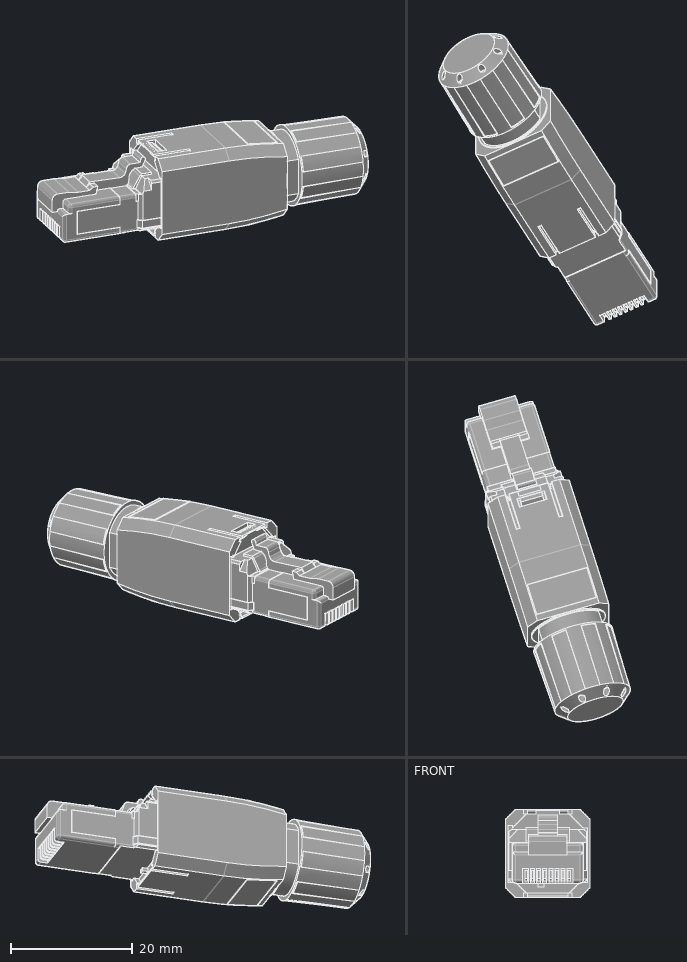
import cadquery as cq
import math

LENGTH = 55.85

SHELL_WIDTH = 14.0
SHELL_HEIGHT = 14.6
SHELL_CORNER = 1.7
SHELL_FRONT = 18.05
SHELL_REAR = 40.45
CURVE_START = 30.05
CURVE_DROP = 0.9
HALF_HEIGHT = SHELL_HEIGHT / 2

PLATE_FRONT = 34.2
PLATE_REAR = 39.45
PLATE_WIDTH = 10.3
PLATE_RISE = 0.1

MOUTH_WIDTH = 13.05
MOUTH_HEIGHT = 12.95
MOUTH_CORNER = 2.95
MOUTH_DEPTH = 0.85
SLOT_OFFSET = 3.7
SLOT_WIDTH = 0.6
SLOT_REAR = 24.35
TONGUE_BEVEL = 0.5
NOTCH_INNER_X = 5.8
LEFT_NOTCH_TOP = 4.65
RIGHT_NOTCH_TOP = 4.2

WINDOW_WIDTH = 4.7
WINDOW_FRONT = 19.25
WINDOW_REAR = 20.8
WINDOW_DEPTH = 0.85
HOOK_WIDTH = 3.8
HOOK_FLAT_REAR = 19.95
HOOK_DROP = 0.15

CAP_FRONT = 43.15
CAP_FRONT_RADIUS = 6.8
CAP_BEVEL_RADIUS = 6.55
CAP_BEVEL_Y = 54.25
CAP_END_RADIUS = 4.8
PANEL_COUNT = 8
PANEL_RIM = 0.3
PANEL_DEPTH = 0.14
CAP_HOLE_DIAMETER = 1.05
CAP_HOLE_RADIUS = 5.5
CAP_HOLE_DEPTH = 1.4

NECK_RADIUS = 6.05
NECK_FLAT = 10.4
COLLAR_RADIUS = 6.35
COLLAR_REAR = 40.65

PLUG_WIDTH = 11.75
PLUG_FRONT = 0.9
PLUG_TOP = 1.8
PLUG_BOTTOM = -4.9
PLUG_ROUND = 0.5
STEP_Y = 1.9
STEP_Z = 0.2
SHIELD_REAR = 11.0
SHIELD_STEP = 0.05
BOTTOM_STEP_Y = 11.9
BOTTOM_STEP = 0.15
SIDE_WINDOW_FRONT = 3.35
SIDE_WINDOW_TOP = 0.45
SIDE_WINDOW_BOTTOM = -3.65

CONTACT_COUNT = 8
CONTACT_PITCH = 1.0
POCKET_WIDTH = 8.3
POCKET_TOP = -2.5
POCKET_DEPTH = 1.7
RIB_WIDTH = 0.35
BLADE_WIDTH = 0.4
BLADE_SETBACK = 0.5
BLADE_TOP = -2.8
BLADE_BOTTOM = -4.6
BLADE_BEVEL = 0.45

HOLDER_WIDTH = 12.85
HOLDER_TOP = 3.95
HOLDER_BOTTOM = -4.75
HOLDER_FRONT = 14.2
HOLDER_SLOPE_REAR = 15.8
HOLDER_SLOPE_FRONT = 14.7
HOLDER_CORNER = 0.65
HOLDER_EDGE = 0.4
FACET_REAR = 16.4
FACET_TOP_X = 4.95
FACET_BOTTOM_Z = 2.4
LIP_FRONT = 13.85
LIP_BOTTOM = 0.55
LIP_RISE = 0.05
RAIL_WIDTH = 13.05
RAIL_FRONT = 14.0
RAIL_TOP = -2.8
RAIL_BOTTOM = -4.2
SADDLE_WIDTH = 7.25
SADDLE_REAR = 17.55
SADDLE_RISE = 0.35

TAB_WIDTH = 0.95
TAB_X = -1.1
TAB_FRONT = 17.9
TAB_TOP = -4.95
TAB_BOTTOM = -5.55

LEVER_WIDTH = 3.3
LATCH_WIDTH = 6.3
LATCH_REAR = 8.15
LATCH_FOOT = 7.75
NOSE_REAR = 2.95
NOSE_TOP = 2.9
NOSE_BOTTOM = -0.2
NOSE_ROUND = 0.95
LEVER_FLAT_Z = 5.5
LEVER_RUN_Z = 3.35
LEVER_END_Y = 7.3
LEVER_END_Z = 3.45
BLOCK_REAR_Z = 3.1
DIP_REAR = 6.7
DIP_FRONT = 4.65
DIP_Z = 2.6

OVERLAP = 0.3


def box(x_size, y_range, z_range, x_center=0.0):
    """Box centred on x_center and spanning the given Y and Z ranges."""
    y0, y1 = y_range
    z0, z1 = z_range
    return (
        cq.Workplane("XY")
        .box(x_size, y1 - y0, z1 - z0)
        .translate((x_center, (y0 + y1) / 2, (z0 + z1) / 2))
    )


def side_prism(points, width):
    """Prism of a closed (Y, Z) outline, centred across X."""
    return cq.Workplane("YZ").polyline(points).close().extrude(width / 2, both=True)


def lathe(points, angle=360):
    """Solid turned about the Y axis from (radius, Y) points."""
    return cq.Workplane("XY").polyline(points).close().revolve(angle, (0, 0, 0), (0, 1, 0))


def shell_curve_z(y):
    """Height of the curved shell top at y, on an arc tangent to the straight part."""
    run = SHELL_REAR - CURVE_START
    radius = (run**2 + CURVE_DROP**2) / (2 * CURVE_DROP)
    return HALF_HEIGHT - radius + math.sqrt(radius**2 - (y - CURVE_START) ** 2)


def mirrored_down(solid):
    """The solid together with its mirror image below the axis."""
    return solid.union(solid.mirror("XY"))


def make_shell():
    mid_y = (CURVE_START + SHELL_REAR) / 2
    mid_z = shell_curve_z(mid_y)
    end_z = shell_curve_z(SHELL_REAR)
    shell = (
        cq.Workplane("YZ")
        .moveTo(SHELL_FRONT, -HALF_HEIGHT)
        .lineTo(CURVE_START, -HALF_HEIGHT)
        .threePointArc((mid_y, -mid_z), (SHELL_REAR, -end_z))
        .lineTo(SHELL_REAR, end_z)
        .threePointArc((mid_y, mid_z), (CURVE_START, HALF_HEIGHT))
        .lineTo(SHELL_FRONT, HALF_HEIGHT)
        .close()
        .extrude(SHELL_WIDTH / 2, both=True)
    )
    long_edges = shell.faces("<X or >X").edges("not(<Y or >Y)")
    shell = long_edges.chamfer(SHELL_CORNER)
    plate = side_prism(
        [
            (PLATE_FRONT, HALF_HEIGHT),
            (PLATE_REAR, shell_curve_z(PLATE_REAR) + PLATE_RISE),
            (PLATE_REAR, shell_curve_z(PLATE_REAR) - OVERLAP),
            (PLATE_FRONT, HALF_HEIGHT - CURVE_DROP),
        ],
        PLATE_WIDTH,
    )
    return shell.union(mirrored_down(plate))


def make_mouth():
    """Cut for the mouth, the tongue slots and bevels, the hook groove and the side notches."""
    mouth_rear = SHELL_FRONT + MOUTH_DEPTH
    mouth = box(MOUTH_WIDTH, (SHELL_FRONT, mouth_rear), (-MOUTH_HEIGHT / 2, MOUTH_HEIGHT / 2))
    mouth = mouth.edges("|Y").chamfer(MOUTH_CORNER)
    lip = MOUTH_HEIGHT / 2
    bevel = side_prism(
        [
            (SHELL_FRONT, lip - OVERLAP),
            (SHELL_FRONT, lip + TONGUE_BEVEL),
            (SHELL_FRONT + TONGUE_BEVEL, lip),
            (SHELL_FRONT + TONGUE_BEVEL, lip - OVERLAP),
        ],
        2 * SLOT_OFFSET,
    )
    for side in (-1, 1):
        slot = box(SLOT_WIDTH, (SHELL_FRONT, SLOT_REAR), (lip, HALF_HEIGHT), side * SLOT_OFFSET)
        bevel = bevel.union(slot)
    cut = mouth.union(mirrored_down(bevel))
    cut = cut.union(box(HOOK_WIDTH, (SHELL_FRONT, mouth_rear), (0, HALF_HEIGHT - HOOK_DROP)))
    notch_width = MOUTH_WIDTH / 2 - NOTCH_INNER_X
    notch_x = (MOUTH_WIDTH / 2 + NOTCH_INNER_X) / 2
    for side, top in ((-1, LEFT_NOTCH_TOP), (1, RIGHT_NOTCH_TOP)):
        cut = cut.union(box(notch_width, (SHELL_FRONT, mouth_rear), (HOLDER_BOTTOM, top), side * notch_x))
    return cut


def make_window():
    """Cut for the tongue window, leaving the snap hook standing inside it."""
    floor = HALF_HEIGHT - WINDOW_DEPTH
    window = box(WINDOW_WIDTH, (WINDOW_FRONT, WINDOW_REAR), (floor, HALF_HEIGHT))
    hook_top = HALF_HEIGHT - HOOK_DROP
    hook = side_prism(
        [
            (WINDOW_FRONT, floor),
            (WINDOW_FRONT, hook_top),
            (HOOK_FLAT_REAR, hook_top),
            (WINDOW_REAR, floor),
        ],
        HOOK_WIDTH,
    )
    return window.cut(hook)


def make_cap():
    cap = lathe(
        [
            (0, CAP_FRONT),
            (CAP_FRONT_RADIUS, CAP_FRONT),
            (CAP_BEVEL_RADIUS, CAP_BEVEL_Y),
            (CAP_END_RADIUS, LENGTH),
            (0, LENGTH),
        ]
    )
    step = 360 / PANEL_COUNT
    panel_front = CAP_FRONT + PANEL_RIM
    panel = lathe(
        [
            (CAP_FRONT_RADIUS - PANEL_DEPTH, panel_front),
            (CAP_FRONT_RADIUS + OVERLAP, panel_front),
            (CAP_FRONT_RADIUS + OVERLAP, CAP_BEVEL_Y),
            (CAP_BEVEL_RADIUS, CAP_BEVEL_Y),
        ],
        step / 2,
    )
    hole = (
        cq.Workplane("XZ", origin=(0, LENGTH, 0))
        .center(CAP_HOLE_RADIUS, 0)
        .circle(CAP_HOLE_DIAMETER / 2)
        .extrude(CAP_HOLE_DEPTH)
    )
    for index in range(PANEL_COUNT):
        turn = index * step
        cap = cap.cut(panel.rotate((0, 0, 0), (0, 1, 0), turn + step / 4))
        cap = cap.cut(hole.rotate((0, 0, 0), (0, 1, 0), turn + step / 2))
    return cap


def make_neck():
    flats = box(NECK_FLAT, (SHELL_REAR - OVERLAP, CAP_FRONT + OVERLAP), (-NECK_RADIUS, NECK_RADIUS))
    neck = (
        cq.Workplane("XZ", origin=(0, CAP_FRONT + OVERLAP, 0))
        .circle(NECK_RADIUS)
        .extrude(CAP_FRONT - SHELL_REAR + 2 * OVERLAP)
        .intersect(flats)
    )
    collar = (
        cq.Workplane("XZ", origin=(0, COLLAR_REAR, 0))
        .circle(COLLAR_RADIUS)
        .extrude(COLLAR_REAR - SHELL_REAR + OVERLAP)
    )
    return neck.union(collar)


def make_plug():
    """Shielded front of the plug with its stepped nose, and the slightly smaller rear."""
    plug = side_prism(
        [
            (PLUG_FRONT, PLUG_BOTTOM),
            (SHIELD_REAR, PLUG_BOTTOM),
            (SHIELD_REAR, PLUG_TOP),
            (STEP_Y, PLUG_TOP),
            (STEP_Y, STEP_Z),
            (PLUG_FRONT, STEP_Z),
        ],
        PLUG_WIDTH,
    )
    plug = plug.edges("|Y and >Z").fillet(PLUG_ROUND)
    plug = plug.edges("|Y and <Z").fillet(PLUG_ROUND)
    plug = plug.faces("<Y").edges().fillet(PLUG_ROUND)
    step_edge = cq.selectors.NearestToPointSelector((0, STEP_Y, PLUG_TOP))
    plug = plug.edges(step_edge).fillet(PLUG_ROUND)
    for side in (-1, 1):
        window = box(
            2 * SHIELD_STEP,
            (SIDE_WINDOW_FRONT, SHIELD_REAR),
            (SIDE_WINDOW_BOTTOM, SIDE_WINDOW_TOP),
            side * PLUG_WIDTH / 2,
        )
        plug = plug.cut(window)
    rear = box(
        PLUG_WIDTH - 2 * SHIELD_STEP,
        (SHIELD_REAR, HOLDER_SLOPE_REAR),
        (PLUG_BOTTOM, PLUG_TOP - SHIELD_STEP),
    )
    rear = rear.edges("|Y").fillet(PLUG_ROUND)
    rear_trim = box(
        PLUG_WIDTH, (BOTTOM_STEP_Y, HOLDER_SLOPE_REAR), (PLUG_BOTTOM, PLUG_BOTTOM + BOTTOM_STEP)
    )
    return plug.union(rear.cut(rear_trim)).cut(make_contact_pocket())


def make_contact_pocket():
    """Cut for the contact pocket, sparing the ribs and the contact blades."""
    pocket_rear = PLUG_FRONT + POCKET_DEPTH
    pocket = box(POCKET_WIDTH, (PLUG_FRONT, pocket_rear), (PLUG_BOTTOM, POCKET_TOP))
    blade = box(BLADE_WIDTH, (PLUG_FRONT + BLADE_SETBACK, pocket_rear), (BLADE_BOTTOM, BLADE_TOP))
    blade = blade.faces("<Y").edges("<Z").chamfer(BLADE_BEVEL)
    rib = box(RIB_WIDTH, (PLUG_FRONT, pocket_rear), (PLUG_BOTTOM, POCKET_TOP))
    first_blade = -(CONTACT_COUNT - 1) / 2 * CONTACT_PITCH
    for index in range(CONTACT_COUNT):
        pocket = pocket.cut(blade.translate((first_blade + index * CONTACT_PITCH, 0, 0)))
    for index in range(CONTACT_COUNT - 1):
        pocket = pocket.cut(rib.translate((first_blade + (index + 0.5) * CONTACT_PITCH, 0, 0)))
    return pocket


def make_holder():
    rear = SHELL_FRONT + MOUTH_DEPTH + OVERLAP
    holder = box(HOLDER_WIDTH, (HOLDER_FRONT, rear), (HOLDER_BOTTOM, HOLDER_TOP))
    holder = holder.edges("|Z and <Y").chamfer(HOLDER_CORNER)
    holder = holder.edges("|Y").chamfer(HOLDER_EDGE)
    above_slope = side_prism(
        [
            (HOLDER_SLOPE_REAR, HOLDER_TOP),
            (HOLDER_SLOPE_FRONT, PLUG_TOP),
            (HOLDER_FRONT, PLUG_TOP),
            (HOLDER_FRONT, HOLDER_TOP),
        ],
        HOLDER_WIDTH,
    )
    facet = (
        cq.Workplane("XZ", origin=(0, FACET_REAR, 0))
        .polyline(
            [
                (FACET_TOP_X, HOLDER_TOP),
                (HOLDER_WIDTH / 2, HOLDER_TOP),
                (HOLDER_WIDTH / 2, FACET_BOTTOM_Z),
            ]
        )
        .close()
        .extrude(FACET_REAR - HOLDER_FRONT)
    )
    holder = holder.cut(above_slope).cut(facet).cut(facet.mirror("YZ"))
    lip = box(PLUG_WIDTH, (LIP_FRONT, HOLDER_SLOPE_FRONT), (LIP_BOTTOM, PLUG_TOP + LIP_RISE))
    rail = box(RAIL_WIDTH, (RAIL_FRONT, rear), (RAIL_BOTTOM, RAIL_TOP))
    rail = rail.edges("|Z and <Y").chamfer(HOLDER_CORNER)
    saddle_top = HOLDER_TOP + SADDLE_RISE
    saddle = side_prism(
        [
            (SADDLE_REAR, HOLDER_TOP - OVERLAP),
            (SADDLE_REAR, saddle_top),
            (HOLDER_SLOPE_REAR, saddle_top),
            (HOLDER_SLOPE_REAR - SADDLE_RISE, HOLDER_TOP),
            (HOLDER_SLOPE_FRONT - SADDLE_RISE, PLUG_TOP + SADDLE_RISE),
            (HOLDER_FRONT, PLUG_TOP),
            (HOLDER_SLOPE_FRONT + OVERLAP, PLUG_TOP),
        ],
        SADDLE_WIDTH,
    )
    tab = box(TAB_WIDTH, (TAB_FRONT, rear), (TAB_BOTTOM, TAB_TOP), TAB_X)
    return holder.union(lip).union(rail).union(saddle).union(tab)


def make_latch():
    """Narrow bent lever running into a wide block that hooks over the plug front."""
    root = PLUG_TOP - OVERLAP
    lever = (
        cq.Workplane("YZ")
        .moveTo(14.1, root)
        .lineTo(14.35, 2.6)
        .threePointArc((14.7, 4.0), (15.4, 4.6))
        .lineTo(16.75, 4.65)
        .lineTo(17.25, 5.8)
        .threePointArc((16.9, 6.35), (16.5, 6.05))
        .lineTo(16.3, LEVER_FLAT_Z)
        .lineTo(14.6, LEVER_FLAT_Z)
        .threePointArc((14.15, 5.25), (13.9, 4.75))
        .lineTo(13.7, 3.95)
        .threePointArc((13.35, 3.6), (12.7, LEVER_RUN_Z))
        .lineTo(LEVER_END_Y, LEVER_END_Z)
        .lineTo(DIP_REAR, DIP_Z)
        .lineTo(DIP_REAR, root)
        .close()
        .extrude(LEVER_WIDTH / 2, both=True)
    )
    block = side_prism(
        [
            (LATCH_REAR, BLOCK_REAR_Z),
            (LEVER_END_Y, BLOCK_REAR_Z),
            (DIP_REAR, DIP_Z),
            (DIP_FRONT, DIP_Z),
            (NOSE_REAR, NOSE_TOP),
            (0, NOSE_TOP),
            (0, NOSE_BOTTOM),
            (PLUG_FRONT + OVERLAP, NOSE_BOTTOM),
            (PLUG_FRONT + OVERLAP, STEP_Z - OVERLAP),
            (STEP_Y + PLUG_ROUND, STEP_Z - OVERLAP),
            (STEP_Y + PLUG_ROUND, root),
            (LATCH_FOOT, root),
        ],
        LATCH_WIDTH,
    )
    block = block.faces("<Y").edges(">Z").fillet(NOSE_ROUND)
    return lever.union(block)


shell = make_shell().cut(make_mouth()).cut(make_window())
result = shell.union(make_cap()).union(make_neck())
result = result.union(make_holder()).union(make_plug()).union(make_latch())